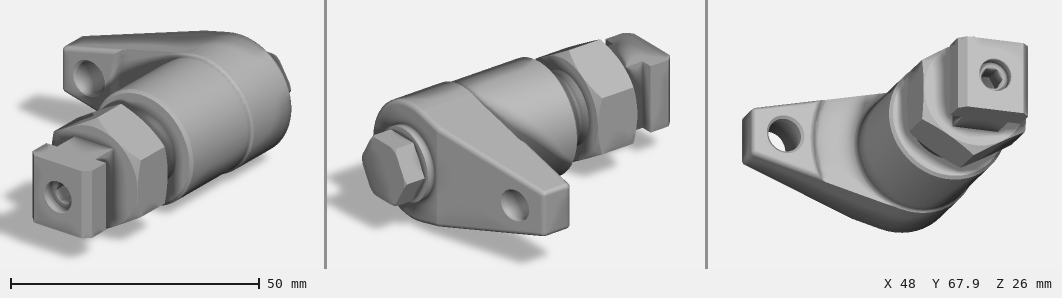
import cadquery as cq
import math


foot_head_top = 6.05
nut_bottom = 12.0
nut_top = 22.0
sleeve_bottom = 27.9
pad_face = 47.0
arm_back = 61.05
bushing_top = 62.75
bolt_head_top = 67.9

foot_width = 15.0
foot_neck_width = 9.65
foot_chamfer = 1.5

counterbore_radius = 3.3
counterbore_depth = 2.2
counterbore_rim_chamfer = 0.15
hex_socket_flats = 4.0
hex_socket_depth = 5.0
hex_socket_turn = 0
socket_point_depth = 1.35

nut_flats = 22.0
nut_face_radius = 10.9
nut_turn = 30
head_flats = 13.0
head_face_radius = 6.9
head_turn = 0
hex_chamfer_angle = 30
collar_radius = 6.1
collar_height = 0.4

shaft_radius = 8.0
groove_depth = 0.3
groove_floor_bottom = 22.6
groove_floor_top = 23.2
groove_top = 24.05

sleeve_diameter = 25.05
sleeve_radius = sleeve_diameter / 2
sleeve_chamfer = 0.6
sleeve_recess_radius = 8.5
sleeve_recess_depth = 1.0

arm_diameter = 26.0
arm_length = 48.0
arm_radius = arm_diameter / 2
arm_reach = arm_length - arm_radius
arm_taper_angle = 13.5
arm_end_face = 54.05
arm_slope_start = 8.75
edge_round = 1.0
underside_recess = 1.0
recess_radius = 20.9
ramp_angle = 45
arm_hole_distance = 28.0
arm_hole_radius = 3.45
arm_hole_chamfer = 0.55

arm_underside = pad_face + underside_recess

overlap = 0.7


def cylinder(radius, start, end):
    """Round bar on the Y axis."""
    return cq.Workplane("XZ", origin=(0, start, 0)).circle(radius).extrude(start - end)


def corner_radius_of(flats):
    """Centre-to-corner distance of a hexagon, from its size across flats."""
    return flats / 2 / math.cos(math.pi / 6)


def hexagon(flats, start, end, turn):
    """Hexagonal bar on the Y axis; at zero turn its corners lie on X."""
    base = cq.Workplane("XZ", origin=(0, start, 0)).polygon(6, 2 * corner_radius_of(flats))
    bar = base.extrude(start - end)
    return bar.rotate((0, 0, 0), (0, 1, 0), turn)


def turned(points):
    """Solid turned about the Y axis from (radius, Y) points."""
    return cq.Workplane("XY").polyline(points).close().revolve(360, (0, 0, 0), (0, 1, 0))


def flared_rim(radius, chamfer, start):
    """Cutter for a 45 degree chamfer around the mouth of a hole."""
    return turned([
        (0, start),
        (radius + chamfer, start),
        (radius, start + chamfer),
        (0, start + chamfer),
    ])


def chamfered_hexagon(flats, face_radius, start, end, turn, both_ends):
    """Hexagon with conical corner chamfers on its upper end, or on both ends."""
    corner_radius = corner_radius_of(flats)
    drop = (corner_radius - face_radius) * math.tan(math.radians(hex_chamfer_angle))
    points = [(0, end), (face_radius, end), (corner_radius, end - drop)]
    if both_ends:
        points += [(corner_radius, start + drop), (face_radius, start)]
    else:
        points += [(corner_radius, start)]
    points += [(0, start)]
    return hexagon(flats, start, end, turn).intersect(turned(points))


def make_foot():
    """T-slot foot with its lower edges chamfered, and its neck."""
    from_zero = (True, False, True)
    foot = cq.Workplane("XY").box(foot_width, foot_head_top, foot_width, centered=from_zero)
    foot = foot.faces("<Y").edges("|Z").chamfer(foot_chamfer)
    neck = cq.Workplane("XY").box(foot_neck_width, nut_bottom + overlap, foot_width, centered=from_zero)
    return foot.union(neck)


def make_socket():
    """Counterbore, hexagon socket with a lead-in, and a conical drill point."""
    hex_end = counterbore_depth + hex_socket_depth
    hex_corner_radius = corner_radius_of(hex_socket_flats)
    lead_in = flared_rim(
        hex_socket_flats / 2, hex_corner_radius - hex_socket_flats / 2, counterbore_depth
    )
    drill_point = [
        (0, hex_end),
        (hex_socket_flats / 2, hex_end),
        (0, hex_end + socket_point_depth),
    ]
    socket = cylinder(counterbore_radius, 0, counterbore_depth)
    socket = socket.union(flared_rim(counterbore_radius, counterbore_rim_chamfer, 0))
    socket = socket.union(hexagon(hex_socket_flats, counterbore_depth, hex_end, hex_socket_turn))
    return socket.union(lead_in).union(turned(drill_point))


def make_shaft():
    """Shaft from the nut through to the bushing, grooved above the nut."""
    groove_radius = shaft_radius - groove_depth
    return turned([
        (0, nut_top - overlap),
        (shaft_radius, nut_top - overlap),
        (shaft_radius, nut_top),
        (groove_radius, groove_floor_bottom),
        (groove_radius, groove_floor_top),
        (shaft_radius, groove_top),
        (shaft_radius, bushing_top),
        (0, bushing_top),
    ])


def make_bolt_head():
    """Hexagon head standing on a thin round collar."""
    head_bottom = bushing_top + collar_height
    head = chamfered_hexagon(head_flats, head_face_radius, head_bottom, bolt_head_top, head_turn, False)
    return head.union(cylinder(collar_radius, bushing_top - overlap, head_bottom))


def arm_outline(start, end):
    """Round head tapering along two tangent lines to a flat end."""
    taper = math.radians(arm_taper_angle)
    tangent_x = -arm_radius * math.sin(taper)
    tangent_z = arm_radius * math.cos(taper)
    end_z = (arm_radius - arm_reach * math.sin(taper)) / math.cos(taper)
    plane = cq.Workplane("XZ", origin=(0, start, 0))
    outline = plane.moveTo(-arm_reach, -end_z).lineTo(tangent_x, -tangent_z)
    outline = outline.threePointArc((arm_radius, 0), (tangent_x, tangent_z))
    return outline.lineTo(-arm_reach, end_z).close().extrude(start - end)


def make_underside_recess():
    """Ramp-edged disc, cut away to lift the underside between the sleeve and the raised pad."""
    ramp = math.radians(ramp_angle)
    round_run = edge_round * math.sin(ramp)
    round_drop = edge_round * (1 - math.cos(ramp))
    half_run = edge_round * math.sin(ramp / 2)
    half_drop = edge_round * (1 - math.cos(ramp / 2))
    ramp_run = (underside_recess - 2 * round_drop) / math.tan(ramp)
    ramp_top = recess_radius + round_run
    ramp_bottom = ramp_top + ramp_run
    pad_radius = ramp_bottom + round_run
    profile = (
        cq.Workplane("XY")
        .moveTo(0, arm_underside)
        .lineTo(recess_radius, arm_underside)
        .threePointArc(
            (recess_radius + half_run, arm_underside - half_drop),
            (ramp_top, arm_underside - round_drop),
        )
        .lineTo(ramp_bottom, pad_face + round_drop)
        .threePointArc((pad_radius - half_run, pad_face + half_drop), (pad_radius, pad_face))
        .lineTo(pad_radius, pad_face - overlap)
        .lineTo(0, pad_face - overlap)
        .close()
    )
    return profile.revolve(360, (0, 0, 0), (0, 1, 0))


def make_arm():
    """Tapered arm with a sloping back, rounded edges, raised pad and clearance hole."""
    slope = (arm_back - arm_end_face) / (arm_reach - arm_slope_start)
    arm = arm_outline(pad_face, arm_back)
    wedge = (
        cq.Workplane("XY")
        .moveTo(-arm_slope_start, arm_back)
        .lineTo(-arm_reach - overlap, arm_end_face - slope * overlap)
        .lineTo(-arm_reach - overlap, arm_back)
        .close()
        .extrude(arm_radius, both=True)
    )
    arm = arm.cut(wedge)
    arm = arm.edges("(not |Y) or <X").fillet(edge_round)
    arm = arm.cut(make_underside_recess())
    hole = cylinder(arm_hole_radius, pad_face, arm_back)
    hole_rim = flared_rim(arm_hole_radius, arm_hole_chamfer, pad_face)
    return arm.cut(hole.union(hole_rim).translate((-arm_hole_distance, 0, 0)))


def make_sleeve():
    """Sleeve with a clearance recess around the shaft and a blend kept within the arm's outline."""
    middle = edge_round * (1 - math.sqrt(0.5))
    sleeve = (
        cq.Workplane("XY")
        .moveTo(0, sleeve_bottom + sleeve_recess_depth)
        .lineTo(sleeve_recess_radius, sleeve_bottom + sleeve_recess_depth)
        .lineTo(sleeve_recess_radius, sleeve_bottom)
        .lineTo(sleeve_radius - sleeve_chamfer, sleeve_bottom)
        .lineTo(sleeve_radius, sleeve_bottom + sleeve_chamfer)
        .lineTo(sleeve_radius, arm_underside - edge_round)
        .threePointArc(
            (sleeve_radius + middle, arm_underside - middle),
            (sleeve_radius + edge_round, arm_underside),
        )
        .lineTo(0, arm_underside)
        .close()
        .revolve(360, (0, 0, 0), (0, 1, 0))
    )
    return sleeve.intersect(arm_outline(sleeve_bottom, arm_underside))


result = (
    make_foot()
    .union(chamfered_hexagon(nut_flats, nut_face_radius, nut_bottom, nut_top, nut_turn, True))
    .union(make_shaft())
    .union(make_sleeve())
    .union(make_arm())
    .union(make_bolt_head())
    .cut(make_socket())
)